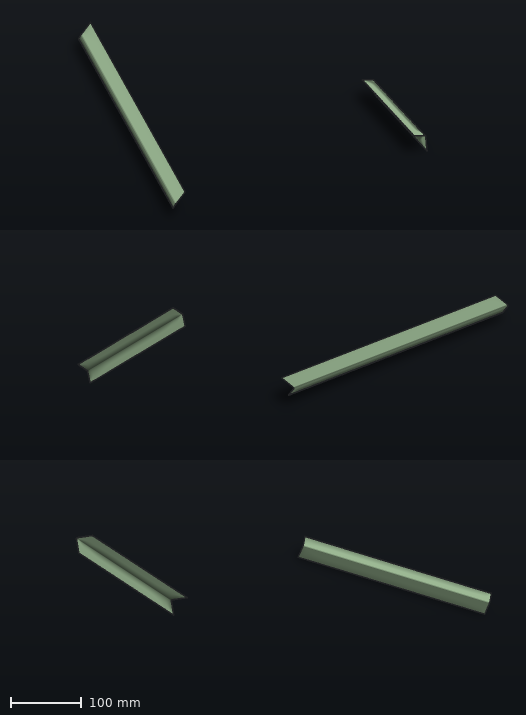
import cadquery as cq
import math

overall_length = 339.5
overall_depth = 20.5
overall_height = 24.8
thickness = 0.8
bend_radius = 2.0
flange_rise_angle = math.radians(12.0)

flange_lean = 11.0
leg_lean = 8.0

rise_sin = math.sin(flange_rise_angle)
rise_cos = math.cos(flange_rise_angle)
inner_radius = bend_radius - thickness
strip_length = overall_length - flange_lean
bend_start_x = -overall_length / 2 + flange_lean

bend_y = bend_radius
flange_length = (overall_depth - bend_y + inner_radius * rise_sin) / rise_cos
bend_z = overall_height - bend_radius * rise_cos - flange_length * rise_sin


def bend_point(radius, angle):
    """Point around the bend axis, with the angle measured from +Y toward +Z."""
    return (bend_y + radius * math.cos(angle), bend_z + radius * math.sin(angle))


def along_flange(point):
    """Move a (y, z) point from the bend to the free edge of the flange."""
    return (point[0] + flange_length * rise_cos, point[1] + flange_length * rise_sin)


def sheared_sheet(bend_edge, free_edge, lean):
    """Flat sheet between two thickness edges, the free one shifted toward -X."""
    free_x = bend_start_x - lean
    corners = [
        cq.Vector(bend_start_x, *bend_edge[0]),
        cq.Vector(bend_start_x, *bend_edge[1]),
        cq.Vector(free_x, *free_edge[1]),
        cq.Vector(free_x, *free_edge[0]),
    ]
    end_face = cq.Face.makeFromWires(cq.Wire.makePolygon(corners, close=True))
    sheet = cq.Solid.extrudeLinear(end_face, cq.Vector(strip_length, 0, 0))
    return cq.Workplane(obj=sheet)


leg_angle = math.pi
flange_angle = math.pi / 2 + flange_rise_angle
middle_angle = (leg_angle + flange_angle) / 2
leg_root = [bend_point(radius, leg_angle) for radius in (bend_radius, inner_radius)]
flange_root = [bend_point(radius, flange_angle) for radius in (bend_radius, inner_radius)]

bend = (
    cq.Workplane("YZ", origin=(bend_start_x, 0, 0))
    .moveTo(*leg_root[0])
    .threePointArc(bend_point(bend_radius, middle_angle), flange_root[0])
    .lineTo(*flange_root[1])
    .threePointArc(bend_point(inner_radius, middle_angle), leg_root[1])
    .close()
    .extrude(strip_length)
)

leg_free_edge = [(y, 0) for y, _ in leg_root]
leg = sheared_sheet(leg_root, leg_free_edge, leg_lean)

flange_free_edge = [along_flange(point) for point in flange_root]
flange = sheared_sheet(flange_root, flange_free_edge, flange_lean)

result = bend.union(leg).union(flange)